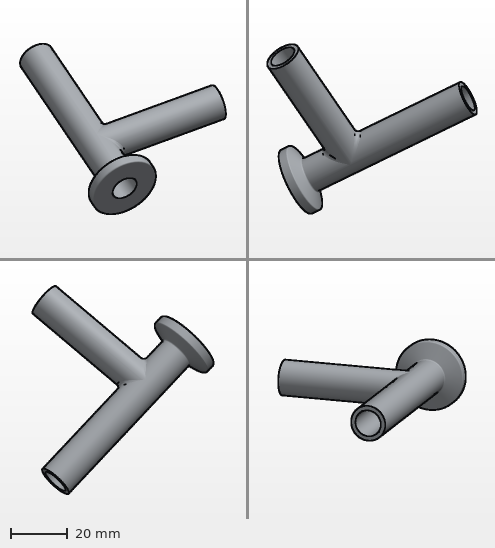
import cadquery as cq
import math

total_length = 69.85
tube_radius = 12.7 / 2
bore_radius = 9.4 / 2
arm_length = 47.65
crotch_radius = 1.6
crotch_sink = 0.01

ferrule_length = 12.7
flange_radius = 25.0 / 2
rim_width = 3.6
cone_angle = 20.0
ferrule_edge_radius = 0.5

run_length = total_length - ferrule_length

ball_centre_reach = tube_radius + crotch_radius


def x_cylinder(radius, length):
    return cq.Workplane("YZ").circle(radius).extrude(length)


def branch_cylinder(radius):
    return cq.Workplane("XZ", origin=(arm_length, 0, 0)).circle(radius).extrude(-arm_length)


def crotch_blend(side):
    """Fillet material in the crotch on the +X (side=1) or -X (side=-1) flank of the branch."""
    mid_plane = cq.Plane(origin=(arm_length, 0, 0), xDir=(-side, -1, 0), normal=(1, -side, 0))
    ball_path = cq.Workplane(mid_plane).ellipse(ball_centre_reach * math.sqrt(2), ball_centre_reach)
    inside_path = ball_path.extrude(ball_centre_reach, both=True)

    path_start = (arm_length - side * ball_centre_reach, -ball_centre_reach, 0)
    section_plane = cq.Plane(origin=path_start, xDir=(side, 1, 0), normal=(0, 0, 1))
    rolling_ball = cq.Workplane(section_plane).circle(crotch_radius + crotch_sink).sweep(ball_path)

    run_contact = (side * ball_centre_reach, tube_radius)
    branch_contact = (side * tube_radius, ball_centre_reach)
    wedge = (
        cq.Workplane("XY", origin=(arm_length, 0, 0))
        .polyline([(0, 0), run_contact, branch_contact])
        .close()
        .extrude(ball_centre_reach, both=True)
    )
    return wedge.intersect(inside_path).cut(rolling_ball)


def ferrule():
    cone_base = total_length - rim_width
    cone_rise = flange_radius - tube_radius
    cone_foot = cone_base - cone_rise * math.tan(math.radians(cone_angle))
    profile = [
        (run_length, 0),
        (run_length, tube_radius),
        (cone_foot, tube_radius),
        (cone_base, flange_radius),
        (total_length, flange_radius),
        (total_length, 0),
    ]
    body = cq.Workplane("XY").polyline(profile).close().revolve(360, (0, 0), (1, 0))
    return body.edges("%CIRCLE").edges("not(<X)").fillet(ferrule_edge_radius)


tee = x_cylinder(tube_radius, run_length).union(branch_cylinder(tube_radius))
for side in (1, -1):
    tee = tee.union(crotch_blend(side))

result = (
    tee.union(ferrule())
    .cut(x_cylinder(bore_radius, total_length))
    .cut(branch_cylinder(bore_radius))
)